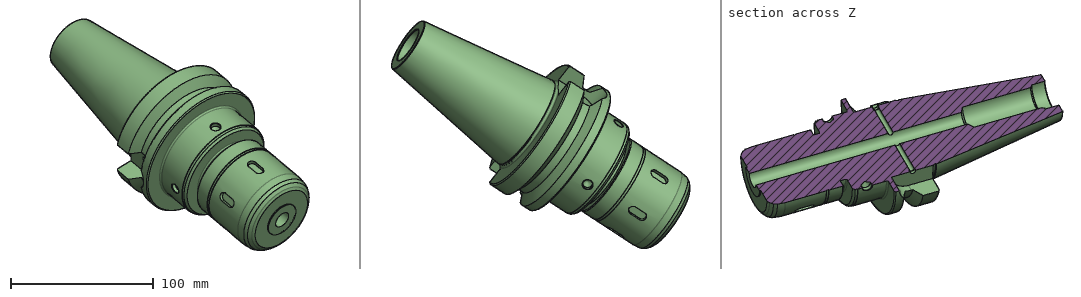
import cadquery as cq
import math

LENGTH = 226.8

TAPER_RATIO = 7 / 24
GAUGE_X = 101.8
GAUGE_R = 69.9 / 2
SMALL_END_R = GAUGE_R - GAUGE_X * TAPER_RATIO / 2
SHANK_EDGE = 0.5
RELIEF_R = 69.0 / 2
RELIEF_FILLET = 1.8

FLANGE_START = 104.8
FLANGE_END = 139.7
FLANGE_R = 100.0 / 2
FLANGE_EDGE = 1.0
GROOVE_FLOOR_R = 42.2
GROOVE_FLOOR_START = 122.0
GROOVE_FLOOR_END = 128.0
GROOVE_SIDE_RUN = (FLANGE_R - GROOVE_FLOOR_R) * math.tan(math.radians(30))

BODY_R = 37.5
BODY_FILLET = 1.1
BODY_END = 165.8
BODY_STEP_R = 74.0 / 2
BODY_STEP_X = 162.5
BODY_CHAMFER = 1.5
NECK_R = 50.0 / 2
NECK_FILLET = 1.0

NUT_START = 170.3
NUT_END = 226.0
NUT_R = 61.0 / 2
NUT_EDGE = 0.7
NUT_GROOVE_R = 60.0 / 2
NUT_GROOVE_START = 181.5
NUT_GROOVE_END = 183.3
NUT_TAPER_START = 214.5
NUT_TAPER_END = 220.2
NUT_TAPER_DROP = 0.7
NUT_SHOULDER_X = 222.7
NUT_SHOULDER_DROP = 2.0
NUT_BEVEL_X = 224.8
NUT_BEVEL_DROP = 4.3
NUT_FACE_DROP = 6.4
NOSE_R = 25.5 / 2

MOUTH_R = 26.5 / 2
COUNTERBORE_R = 25.5 / 2
COUNTERBORE_DEPTH = 10.5
THREAD_R = 24.0 / 2
THREAD_LEAD = 1.5
TAP_DRILL_R = 21.0 / 2
TAP_DRILL_DEPTH = 63.5
COOLANT_R = 12.0 / 2
DRILL_POINT = math.radians(59)

DRIVE_COUNT = 2
DRIVE_WIDTH = 25.5
DRIVE_FLOOR_Y = 35.2
DRIVE_END_X = 135.9

CROSS_X = 119.8
CROSS_DIAMETER = 3.5
CROSS_MOUTH_DIAMETER = 4.0
CROSS_MOUTH_DEPTH = 2.3

BODY_HOLE_COUNT = 4
BODY_HOLE_X = 155.1
BODY_HOLE_R = 7.0 / 2
BODY_HOLE_MOUTH_R = 8.0 / 2
BODY_HOLE_DEPTH = 3.2

SPANNER_COUNT = 6
SPANNER_X = 198.2
SPANNER_LENGTH = 14.0
SPANNER_WIDTH = 6.4
SPANNER_DEPTH = 2.7


def revolve_about_x(outline):
    """Turn a closed (x, radius) outline about the X axis."""
    return outline.close().revolve(360, (0, 0, 0), (1, 0, 0))


def ring_of(cutter, count):
    """Copies of a cutter evenly spaced about the X axis."""
    step = 360 / count
    copies = cq.Workplane("XY")
    for index in range(count):
        copies = copies.add(cutter.rotate((0, 0, 0), (1, 0, 0), index * step))
    return copies.combine()


def turned_blank():
    outline = (
        cq.Workplane("XY")
        .moveTo(0, 0)
        .lineTo(0, SMALL_END_R - SHANK_EDGE)
        .lineTo(SHANK_EDGE, SMALL_END_R + SHANK_EDGE * TAPER_RATIO / 2)
        .lineTo(GAUGE_X, GAUGE_R)
        .lineTo(GAUGE_X + GAUGE_R - RELIEF_R, RELIEF_R)
        .lineTo(FLANGE_START - RELIEF_FILLET, RELIEF_R)
        .radiusArc((FLANGE_START, RELIEF_R + RELIEF_FILLET), -RELIEF_FILLET)
        .lineTo(FLANGE_START, FLANGE_R - FLANGE_EDGE)
        .lineTo(FLANGE_START + FLANGE_EDGE, FLANGE_R)
        .lineTo(GROOVE_FLOOR_START - GROOVE_SIDE_RUN, FLANGE_R)
        .lineTo(GROOVE_FLOOR_START, GROOVE_FLOOR_R)
        .lineTo(GROOVE_FLOOR_END, GROOVE_FLOOR_R)
        .lineTo(GROOVE_FLOOR_END + GROOVE_SIDE_RUN, FLANGE_R)
        .lineTo(FLANGE_END - FLANGE_EDGE, FLANGE_R)
        .lineTo(FLANGE_END, FLANGE_R - FLANGE_EDGE)
        .lineTo(FLANGE_END, BODY_R + BODY_FILLET)
        .radiusArc((FLANGE_END + BODY_FILLET, BODY_R), -BODY_FILLET)
        .lineTo(BODY_STEP_X, BODY_R)
        .lineTo(BODY_STEP_X, BODY_STEP_R)
        .lineTo(BODY_END - BODY_CHAMFER, BODY_STEP_R)
        .lineTo(BODY_END, BODY_STEP_R - BODY_CHAMFER)
        .lineTo(BODY_END, NECK_R + NECK_FILLET)
        .radiusArc((BODY_END + NECK_FILLET, NECK_R), -NECK_FILLET)
        .lineTo(NUT_START, NECK_R)
        .lineTo(NUT_START, NUT_R - NUT_EDGE)
        .lineTo(NUT_START + NUT_EDGE, NUT_R)
        .lineTo(NUT_GROOVE_START, NUT_R)
        .lineTo(NUT_GROOVE_START, NUT_GROOVE_R)
        .lineTo(NUT_GROOVE_END, NUT_GROOVE_R)
        .lineTo(NUT_GROOVE_END, NUT_R)
        .lineTo(NUT_TAPER_START, NUT_R)
        .lineTo(NUT_TAPER_END, NUT_R - NUT_TAPER_DROP)
        .lineTo(NUT_SHOULDER_X, NUT_R - NUT_SHOULDER_DROP)
        .lineTo(NUT_BEVEL_X, NUT_R - NUT_BEVEL_DROP)
        .lineTo(NUT_END, NUT_R - NUT_FACE_DROP)
        .lineTo(NUT_END, NOSE_R)
        .lineTo(LENGTH, NOSE_R)
        .lineTo(LENGTH, 0)
    )
    return revolve_about_x(outline)


def stepped_bore():
    mouth_depth = MOUTH_R - COUNTERBORE_R
    point_length = (TAP_DRILL_R - COOLANT_R) / math.tan(DRILL_POINT)
    outline = (
        cq.Workplane("XY")
        .moveTo(0, 0)
        .lineTo(0, MOUTH_R)
        .lineTo(mouth_depth, COUNTERBORE_R)
        .lineTo(COUNTERBORE_DEPTH, COUNTERBORE_R)
        .lineTo(COUNTERBORE_DEPTH, THREAD_R)
        .lineTo(COUNTERBORE_DEPTH + THREAD_LEAD, TAP_DRILL_R)
        .lineTo(TAP_DRILL_DEPTH, TAP_DRILL_R)
        .lineTo(TAP_DRILL_DEPTH + point_length, COOLANT_R)
        .lineTo(LENGTH, COOLANT_R)
        .lineTo(LENGTH, 0)
    )
    return revolve_about_x(outline)


def drive_slot():
    """Round-ended slot, open toward the shank, on the +Y side."""
    depth = FLANGE_R - DRIVE_FLOOR_Y
    round_center_x = DRIVE_END_X - DRIVE_WIDTH / 2
    length = round_center_x - GAUGE_X
    straight = cq.Workplane("XY").box(length, depth, DRIVE_WIDTH, centered=(False, False, True))
    straight = straight.translate((GAUGE_X, DRIVE_FLOOR_Y, 0))
    round_end = (
        cq.Workplane("XZ", origin=(round_center_x, DRIVE_FLOOR_Y, 0))
        .circle(DRIVE_WIDTH / 2)
        .extrude(-depth)
    )
    return straight.union(round_end)


def cross_hole():
    hole = (
        cq.Workplane("XZ", origin=(CROSS_X, 0, 0))
        .circle(CROSS_DIAMETER / 2)
        .extrude(FLANGE_R, both=True)
    )
    mouth_start = DRIVE_FLOOR_Y - CROSS_MOUTH_DEPTH
    mouth = (
        cq.Workplane("XZ", origin=(CROSS_X, mouth_start, 0))
        .circle(CROSS_MOUTH_DIAMETER / 2)
        .extrude(-CROSS_MOUTH_DEPTH)
    )
    return hole.union(ring_of(mouth, DRIVE_COUNT))


def body_hole():
    """Blind drilled hole with a chamfered mouth and a drill point, on the +Y side."""
    chamfer = BODY_HOLE_MOUTH_R - BODY_HOLE_R
    floor_y = BODY_R - BODY_HOLE_DEPTH
    point_length = BODY_HOLE_R / math.tan(DRILL_POINT)
    outline = (
        cq.Workplane("XY", origin=(BODY_HOLE_X, 0, 0))
        .moveTo(0, floor_y - point_length)
        .lineTo(BODY_HOLE_R, floor_y)
        .lineTo(BODY_HOLE_R, BODY_R - chamfer)
        .lineTo(BODY_HOLE_MOUTH_R, BODY_R)
        .lineTo(0, BODY_R)
    )
    return outline.close().revolve(360, (0, 0, 0), (0, 1, 0))


def spanner_slot():
    """Flat-bottomed slot along the nut, on the +Z side."""
    return (
        cq.Workplane("XY", origin=(SPANNER_X, 0, NUT_R - SPANNER_DEPTH))
        .slot2D(SPANNER_LENGTH, SPANNER_WIDTH)
        .extrude(SPANNER_DEPTH)
    )


result = (
    turned_blank()
    .cut(stepped_bore())
    .cut(ring_of(drive_slot(), DRIVE_COUNT))
    .cut(cross_hole())
    .cut(ring_of(body_hole(), BODY_HOLE_COUNT))
    .cut(ring_of(spanner_slot(), SPANNER_COUNT))
)